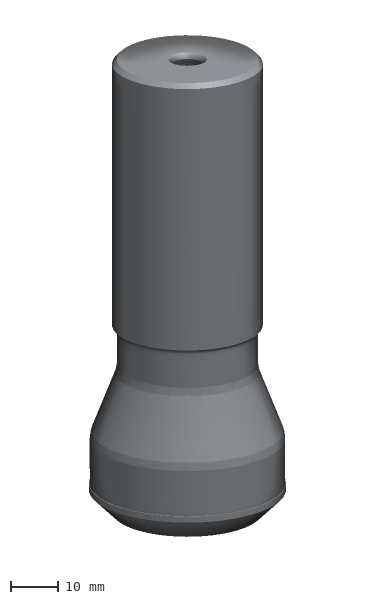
import cadquery as cq
import math

total_length = 102.0
shank_diameter = 32.0
shank_start = 42.0
shank_chamfer = 1.0

neck_diameter = 30.0
neck_corner_radius = (shank_diameter - neck_diameter) / 2
head_diameter = 41.5
flare_top = 32.3
flare_bottom = 17.4
flare_blend_radius = 5.0

ring_diameter = 41.9
ring_top = 6.3
tip_diameter = shank_diameter
cone_height = (ring_diameter - tip_diameter) / 2

hole_diameter = 6.2
hole_depth = 15.0
countersink_diameter = 8.4
countersink_angle = 90.0
drill_point_angle = 118.0


def revolve_profile(points):
    """Turn a closed (radius, height) outline about the Z axis."""
    return cq.Workplane("XZ").polyline(points).close().revolve(360, (0, 0), (0, 1))


def cone_length(start_diameter, end_diameter, included_angle):
    """Axial length of a cone between two diameters."""
    return (start_diameter - end_diameter) / 2 / math.tan(math.radians(included_angle / 2))


def make_center_hole():
    """Countersunk blind hole with a conical drill point."""
    countersink_depth = cone_length(countersink_diameter, hole_diameter, countersink_angle)
    point_length = cone_length(hole_diameter, 0, drill_point_angle)
    floor = total_length - hole_depth
    return revolve_profile([
        (0, total_length),
        (countersink_diameter / 2, total_length),
        (hole_diameter / 2, total_length - countersink_depth),
        (hole_diameter / 2, floor),
        (0, floor - point_length),
    ])


def make_tool_body():
    """Shank, neck and flared head, resting on the cutting ring."""
    shank_radius = shank_diameter / 2
    neck_radius = neck_diameter / 2
    head_radius = head_diameter / 2
    corner_mid_radius = shank_radius - neck_corner_radius * math.cos(math.pi / 4)
    corner_mid_height = shank_start - neck_corner_radius * (1 - math.sin(math.pi / 4))
    body = (
        cq.Workplane("XZ")
        .moveTo(0, ring_top)
        .lineTo(head_radius, ring_top)
        .lineTo(head_radius, flare_bottom)
        .lineTo(neck_radius, flare_top)
        .lineTo(neck_radius, shank_start - neck_corner_radius)
        .threePointArc((corner_mid_radius, corner_mid_height), (shank_radius, shank_start))
        .lineTo(shank_radius, total_length - shank_chamfer)
        .lineTo(shank_radius - shank_chamfer, total_length)
        .lineTo(0, total_length)
        .close()
        .revolve(360, (0, 0), (0, 1))
    )
    flare_margin = 1.0
    flare_region = cq.selectors.BoxSelector(
        (-head_diameter, -head_diameter, flare_bottom - flare_margin),
        (head_diameter, head_diameter, flare_top + flare_margin),
    )
    flare_edges = body.edges("%CIRCLE").edges(flare_region)
    return flare_edges.fillet(flare_blend_radius).cut(make_center_hole())


def make_cutting_ring():
    """Solid cutting end with a 45 degree cone below a short cylinder."""
    ring_radius = ring_diameter / 2
    return revolve_profile([
        (0, 0),
        (tip_diameter / 2, 0),
        (ring_radius, cone_height),
        (ring_radius, ring_top),
        (0, ring_top),
    ])


tool_body = make_tool_body()
cutting_ring = make_cutting_ring()
result = cq.Compound.makeCompound([tool_body.val(), cutting_ring.val()])